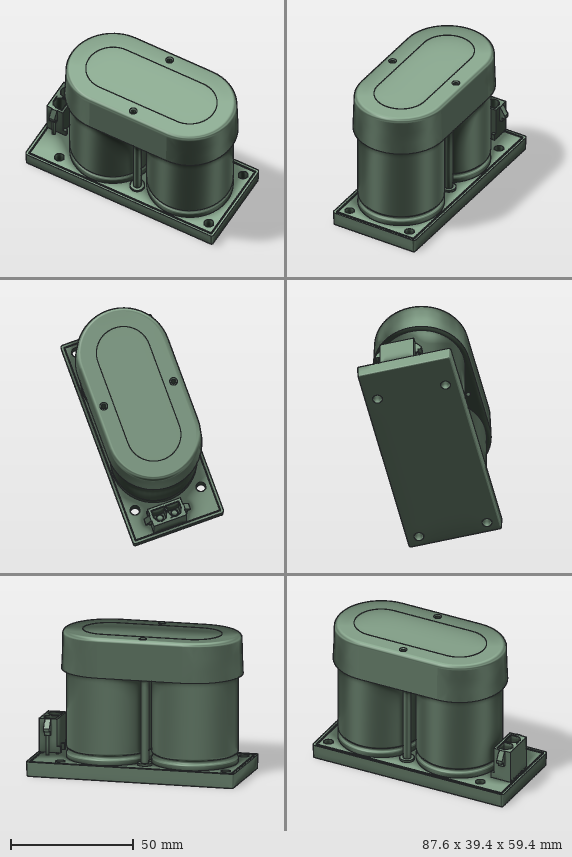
import cadquery as cq
import math

base_length = 87.6
base_width = 39.3
base_height = 6.1
base_draft = 0.3
base_corner_radius = 1.05
base_bottom_fillet = 0.5
rim_width = 1.1
rim_groove_width = 0.35
rim_groove_depth = 0.35
mount_hole_diameter = 3.9
mount_hole_pitch_x = 69.75
mount_hole_pitch_y = 28.6
mount_hole_center_x = 4.2

pack_x = 4.3
cylinder_pitch = 35.9
cylinder_diameter = 35.4
bead_center_z = 9.2
bead_depth = 1.3
bead_half_height = 1.6

total_height = 59.4
cap_bottom_z = 42.9
cap_diameter = 39.35
cap_draft = 0.5
cap_fillet = 1.8
inlay_diameter = 22.2
inlay_depth = 0.1

rod_diameter = 3.2
rod_pitch = 23.5
washer_diameter = 6.0
washer_height = 0.9
screw_pitch = 30.2
screw_sink_diameter = 3.15
screw_bore_diameter = 1.9
screw_sink_depth = 0.4

plug_x_min = -42.4
plug_x_max = -34.9
plug_center_y = 3.2
plug_width = 14.2
plug_bottom_z = 7.0
plug_top_z = 21.0
flange_length = 1.4
flange_top_z = 9.6
flange_rib_width = 1.4
foot_diameter = 1.9
foot_pitch_y = 8.9
latch_center_x = -38.7
latch_width = 2.45
latch_reach = 2.5
latch_root_reach = 1.1
latch_top_reach = 0.3
latch_nose_z = 17.35
latch_hook_z = 16.0
latch_bottom_z = 14.3
peg_diameter = 1.4
socket_pitch = 6.3
socket_size = 5.3
socket_chamfer = 0.3
socket_floor_z = 8.8
pin_diameter = 3.1
pin_height = 5.3
pin_tip_diameter = 2.5
pin_tip_height = 0.9
key_slot_width = 0.1
key_slot_length = 2.5
key_slot_depth = 0.9


def box(x_min, x_max, y_min, y_max, z_min, z_max):
    return cq.Workplane("XY").box(
        x_max - x_min, y_max - y_min, z_max - z_min, centered=False
    ).translate((x_min, y_min, z_min))


def cylinder(x, y, z, diameter, height):
    return cq.Workplane("XY", origin=(x, y, z)).circle(diameter / 2).extrude(height)


def make_base():
    draft_angle = math.degrees(math.atan2(base_draft, base_height))
    tray = (
        cq.Workplane("XY", origin=(0, 0, base_height))
        .sketch()
        .rect(base_length, base_width)
        .vertices()
        .fillet(base_corner_radius)
        .finalize()
        .extrude(-base_height, taper=draft_angle)
        .faces("<Z")
        .edges()
        .fillet(base_bottom_fillet)
    )
    groove_outer = (base_length - 2 * rim_width, base_width - 2 * rim_width)
    groove = (
        cq.Workplane("XY", origin=(0, 0, base_height))
        .rect(*groove_outer)
        .rect(*(side - 2 * rim_groove_width for side in groove_outer))
        .extrude(-rim_groove_depth)
    )
    mount_holes = (
        cq.Workplane("XY")
        .center(mount_hole_center_x, 0)
        .rect(mount_hole_pitch_x, mount_hole_pitch_y, forConstruction=True)
        .vertices()
        .circle(mount_hole_diameter / 2)
        .extrude(base_height)
    )
    return tray.cut(groove).cut(mount_holes)


def make_can(x):
    """Cylinder with a rolled bead: a round groove whose lips blend into the wall."""
    radius = cylinder_diameter / 2
    arc_radius = (bead_depth**2 + bead_half_height**2) / (4 * bead_depth)
    half_sweep = math.asin(bead_half_height / (2 * arc_radius)) / 2
    sag_along = arc_radius * math.sin(half_sweep)
    sag_in = arc_radius * (1 - math.cos(half_sweep))
    waist = radius - bead_depth
    middle = radius - bead_depth / 2
    low_z = bead_center_z - bead_half_height
    high_z = bead_center_z + bead_half_height
    blend = bead_half_height / 2
    profile = (
        cq.Workplane("XZ")
        .moveTo(0, base_height)
        .lineTo(radius, base_height)
        .lineTo(radius, low_z)
        .threePointArc((radius - sag_in, low_z + sag_along), (middle, low_z + blend))
        .threePointArc((waist, bead_center_z), (middle, high_z - blend))
        .threePointArc((radius - sag_in, high_z - sag_along), (radius, high_z))
        .lineTo(radius, cap_bottom_z)
        .lineTo(0, cap_bottom_z)
        .close()
    )
    return profile.revolve(360, (0, 0, 0), (0, 1, 0)).translate((x, 0, 0))


def make_cap():
    cap_height = total_height - cap_bottom_z
    draft_angle = math.degrees(math.atan2(cap_draft, cap_height))
    cap = (
        cq.Workplane("XY", origin=(pack_x, 0, cap_bottom_z))
        .slot2D(cylinder_pitch + cap_diameter, cap_diameter)
        .extrude(cap_height, taper=draft_angle)
        .faces(">Z")
        .edges()
        .fillet(cap_fillet)
    )
    inlay = (
        cq.Workplane("XY", origin=(pack_x, 0, total_height))
        .slot2D(cylinder_pitch + inlay_diameter, inlay_diameter)
        .extrude(-inlay_depth)
    )
    return cap.cut(inlay)


def make_rod(y):
    rod = cylinder(pack_x, y, base_height, rod_diameter, cap_bottom_z - base_height)
    return rod.union(cylinder(pack_x, y, base_height, washer_diameter, washer_height))


def make_screw_hole(y):
    """Countersunk hole right through the cap, outboard of the rod."""
    bore = cylinder(pack_x, y, cap_bottom_z, screw_bore_diameter, total_height - cap_bottom_z)
    sink = (
        cq.Workplane("XY", origin=(pack_x, y, total_height))
        .circle(screw_sink_diameter / 2)
        .workplane(offset=-screw_sink_depth)
        .circle(screw_bore_diameter / 2)
        .loft()
    )
    return bore.union(sink)


def make_latch(side):
    """Hooked latch on the +Y (side = 1) or -Y (side = -1) face of the connector."""
    face = plug_width / 2
    outline = [
        (0, plug_top_z),
        (face + latch_top_reach, plug_top_z),
        (face + latch_reach, latch_nose_z),
        (face + latch_reach, latch_hook_z),
        (face + latch_root_reach, latch_hook_z),
        (face + latch_root_reach, latch_bottom_z),
        (0, latch_bottom_z),
    ]
    return (
        cq.Workplane("YZ", origin=(latch_center_x - latch_width / 2, plug_center_y, 0))
        .polyline([(side * reach, z) for reach, z in outline])
        .close()
        .extrude(latch_width)
    )


def make_socket(y):
    """D-shaped pocket, round toward -X, with its straight edges bevelled at the mouth."""
    half = socket_size / 2
    depth = plug_top_z - socket_floor_z
    pocket = cylinder(latch_center_x, y, socket_floor_z, socket_size, depth)
    square = box(latch_center_x, latch_center_x + half, y - half, y + half, socket_floor_z, plug_top_z)
    bevel = (
        cq.Workplane("XY", origin=(latch_center_x + half / 2, y, plug_top_z))
        .rect(half + 2 * socket_chamfer, socket_size + 2 * socket_chamfer)
        .extrude(-socket_chamfer, taper=45)
    )
    return pocket.union(square).union(bevel)


def make_connector():
    y_min = plug_center_y - plug_width / 2
    y_max = plug_center_y + plug_width / 2
    plug = box(plug_x_min, plug_x_max, y_min, y_max, plug_bottom_z, plug_top_z)
    for side in (1, -1):
        plug = plug.union(make_latch(side))

    socket_ys = (plug_center_y + socket_pitch / 2, plug_center_y - socket_pitch / 2)
    pin_top_z = socket_floor_z + pin_height
    for y in socket_ys:
        plug = plug.cut(make_socket(y))
        plug = plug.union(cylinder(latch_center_x, y, socket_floor_z, pin_diameter, pin_height))
        plug = plug.union(cylinder(latch_center_x, y, pin_top_z, pin_tip_diameter, pin_tip_height))

    key_x = latch_center_x - socket_size / 2
    key_slot = box(key_x, key_x + key_slot_width, socket_ys[1], socket_ys[1] + key_slot_length,
                   plug_top_z - key_slot_depth, plug_top_z)
    plug = plug.cut(key_slot)

    rib_shift = (plug_width - flange_rib_width) / 2
    for shift in (-rib_shift, 0, rib_shift):
        rib_y = plug_center_y + shift - flange_rib_width / 2
        rib = box(plug_x_max, plug_x_max + flange_length, rib_y, rib_y + flange_rib_width,
                  plug_bottom_z, flange_top_z)
        plug = plug.union(rib)

    footprint = box(plug_x_min, plug_x_max, y_min, y_max, base_height, plug_bottom_z)
    for x in (plug_x_min, plug_x_max):
        for y in (plug_center_y - foot_pitch_y / 2, plug_center_y + foot_pitch_y / 2):
            foot = cylinder(x, y, base_height, foot_diameter, plug_bottom_z - base_height)
            plug = plug.union(foot.intersect(footprint))

    peg_y = y_min - peg_diameter / 2
    peg = cylinder(latch_center_x, peg_y, base_height, peg_diameter, latch_bottom_z - base_height)
    return plug.union(peg)


result = make_base()
for side in (-1, 1):
    result = result.union(make_can(pack_x + side * cylinder_pitch / 2))
result = result.union(make_cap())
for side in (-1, 1):
    result = result.union(make_rod(side * rod_pitch / 2))
    result = result.cut(make_screw_hole(side * screw_pitch / 2))
result = result.union(make_connector())